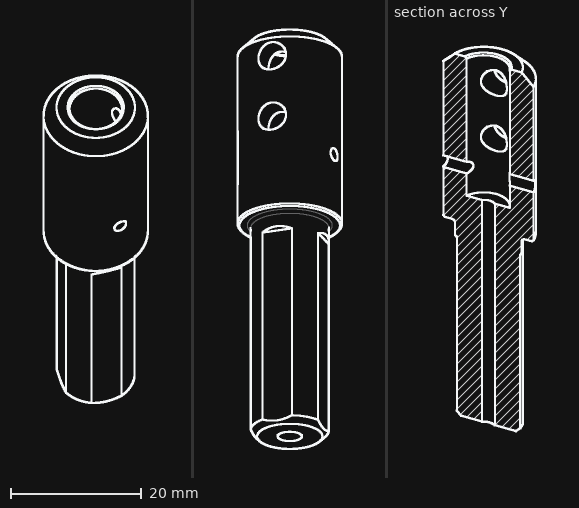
import cadquery as cq

total_length = 65.0
shank_length = 35.0

head_diameter = 16.0
head_top_chamfer = 2.0
head_bottom_chamfer = 0.3

shank_diameter = 12.0
shank_end_chamfer = 1.0
shoulder_fillet = 0.5
flat_count = 4
flat_depth = 0.5
flat_length = 32.0

bore_diameter = 8.0
bore_depth = 25.0
bore_mouth_chamfer = 0.3
through_hole_diameter = 3.7

screw_hole_diameter = 4.5
first_screw_depth = 5.0
screw_spacing = 10.0
screw_count = 2

pin_hole_diameter = 2.0
pin_hole_depth = 20.0
pin_hole_offset = 1.5

head_radius = head_diameter / 2
shank_radius = shank_diameter / 2
bore_radius = bore_diameter / 2


def turned_body():
    """Head and shank, revolved about Z with their edge breaks."""
    profile = (
        cq.Workplane("XZ")
        .moveTo(0, 0)
        .lineTo(shank_radius - shank_end_chamfer, 0)
        .lineTo(shank_radius, shank_end_chamfer)
        .lineTo(shank_radius, shank_length - shoulder_fillet)
        .radiusArc((shank_radius + shoulder_fillet, shank_length), shoulder_fillet)
        .lineTo(head_radius - head_bottom_chamfer, shank_length)
        .lineTo(head_radius, shank_length + head_bottom_chamfer)
        .lineTo(head_radius, total_length - head_top_chamfer)
        .lineTo(head_radius - head_top_chamfer, total_length)
        .lineTo(0, total_length)
        .close()
    )
    return profile.revolve(360, (0, 0, 0), (0, 1, 0))


def flat_cutter():
    """Cutter for the flat facing +X, whose upper end runs out at 45 degrees."""
    flat_distance = shank_radius - flat_depth
    return (
        cq.Workplane("XZ")
        .moveTo(flat_distance, 0)
        .lineTo(shank_radius, 0)
        .lineTo(shank_radius, flat_length + flat_depth)
        .lineTo(flat_distance, flat_length)
        .close()
        .extrude(shank_radius, both=True)
    )


def cut_flats(body):
    for index in range(flat_count):
        angle = index * 360 / flat_count
        body = body.cut(flat_cutter().rotate((0, 0, 0), (0, 0, 1), angle))
    return body


def cut_axial_holes(body):
    """Chamfered bore from the top, continued by a smaller hole through the shank."""
    through_radius = through_hole_diameter / 2
    bore_floor = total_length - bore_depth
    mouth_radius = bore_radius + bore_mouth_chamfer
    cutter = (
        cq.Workplane("XZ")
        .moveTo(0, 0)
        .lineTo(through_radius, 0)
        .lineTo(through_radius, bore_floor)
        .lineTo(bore_radius, bore_floor)
        .lineTo(bore_radius, total_length - bore_mouth_chamfer)
        .lineTo(mouth_radius, total_length)
        .lineTo(0, total_length)
        .close()
        .revolve(360, (0, 0, 0), (0, 1, 0))
    )
    return body.cut(cutter)


def cut_screw_holes(body):
    direction = cq.Vector(0, 1, 0)
    for index in range(screw_count):
        height = total_length - first_screw_depth - index * screw_spacing
        start = cq.Vector(0, 0, height)
        body = body.cut(cq.Workplane(
            cq.Solid.makeCylinder(screw_hole_diameter / 2, head_diameter, start, direction)
        ))
    return body


def cut_pin_hole(body):
    start = cq.Vector(-head_radius, pin_hole_offset, total_length - pin_hole_depth)
    direction = cq.Vector(1, 0, 0)
    return body.cut(cq.Workplane(
        cq.Solid.makeCylinder(pin_hole_diameter / 2, head_diameter, start, direction)
    ))


result = turned_body()
result = cut_flats(result)
result = cut_axial_holes(result)
result = cut_screw_holes(result)
result = cut_pin_hole(result)